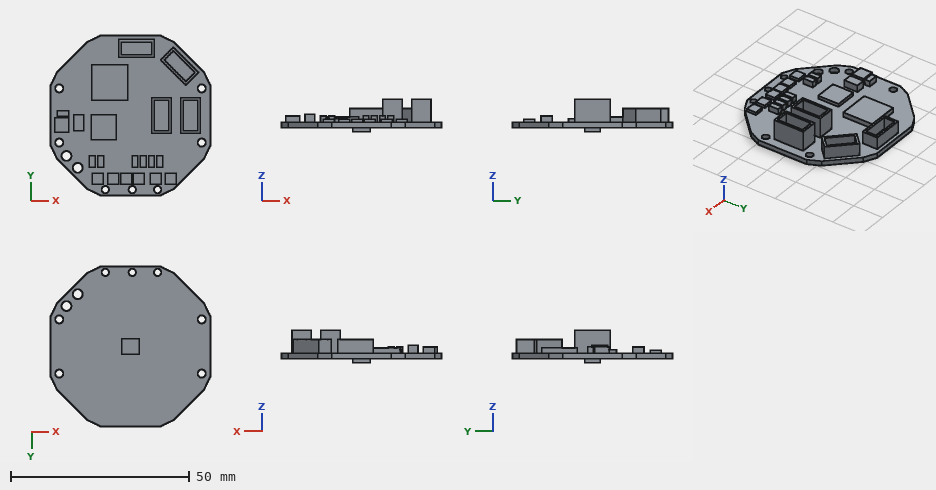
import cadquery as cq

board_size = 45.0
board_thickness = 1.58
straight_half = 8.32
bevel_near = 12.25
bevel_far = 20.55

mount_hole_diameter = 2.2
mount_hole_x = 20.0
mount_hole_y = 7.6
edge_hole_diameter = 2.0
edge_hole_y = -20.8
edge_hole_xs = [-7.05, 0.5, 7.6]
cable_hole_diameter = 2.7
cable_hole_centers = [(-17.95, -11.35), (-14.8, -14.65)]

connector_length = 10.0
connector_wall = 0.7
low_connector_width = 5.05
low_connector_height = 3.9
low_connector_center = (1.65, 18.8)
angled_connector_center = (13.75, 13.8)
angled_connector_turn = -45.0
tall_connector_width = 5.5
tall_connector_height = 6.5
tall_connector_xs = [8.7, 16.8]

large_chip_size = 10.0
large_chip_height = 1.55
large_chip_center = (-5.8, 9.22)
small_chip_size = 7.0
small_chip_height = 1.0
small_chip_center = (-7.5, -3.3)

inductor_size = 4.0
inductor_center = (-19.25, -2.65)
diode_width = 2.85
diode_length = 4.5
diode_height = 2.25
diode_center = (-14.5, -2.02)

capacitor_length = 3.25
capacitor_width = 1.6
capacitor_height = 1.8
inductor_height = capacitor_height
side_capacitor_center = (-18.9, 0.6)
capacitor_row_y = -12.85
capacitor_row_xs = [-10.7, -8.35, 1.25, 3.55, 5.9, 8.2]

pad_size = 3.1
pad_height = 0.85
pad_row_y = -17.75
pad_row_xs = [-9.2, -4.8, -1.15, 2.3, 7.05, 11.3]

sensor_length = 5.0
sensor_width = 4.4
sensor_height = 1.12


def make_board():
    """Board with its lower face on Z = 0."""
    half = board_size / 2
    corner = [
        (half, straight_half),
        (bevel_far, bevel_near),
        (bevel_near, bevel_far),
        (straight_half, half),
    ]
    outline = []
    for _ in range(4):
        outline += corner
        corner = [(-y, x) for x, y in corner]
    return cq.Workplane("XY").polyline(outline).close().extrude(board_thickness)


def drill(board, centers, diameter):
    """Cut round holes right through the board."""
    holes = cq.Workplane("XY").pushPoints(centers).circle(diameter / 2).extrude(board_thickness)
    return board.cut(holes)


def make_blocks(centers, size_x, size_y, height):
    """Plain rectangular blocks standing on the upper face of the board."""
    upper_face = cq.Workplane("XY").workplane(offset=board_thickness)
    return upper_face.pushPoints(centers).rect(size_x, size_y).extrude(height)


def make_connector(center, size_x, size_y, height, turn=0.0):
    """Rectangular wall, open at the top and down to the board."""
    wall = (
        cq.Workplane("XY")
        .rect(size_x, size_y)
        .rect(size_x - 2 * connector_wall, size_y - 2 * connector_wall)
        .extrude(height)
    )
    wall = wall.rotate((0, 0, 0), (0, 0, 1), turn)
    return wall.translate((center[0], center[1], board_thickness))


mount_centers = [(x, y) for x in (-mount_hole_x, mount_hole_x) for y in (-mount_hole_y, mount_hole_y)]
edge_centers = [(x, edge_hole_y) for x in edge_hole_xs]
result = make_board()
result = drill(result, mount_centers, mount_hole_diameter)
result = drill(result, edge_centers, edge_hole_diameter)
result = drill(result, cable_hole_centers, cable_hole_diameter)

connectors = [
    make_connector(low_connector_center, connector_length, low_connector_width, low_connector_height),
    make_connector(
        angled_connector_center,
        connector_length,
        low_connector_width,
        low_connector_height,
        angled_connector_turn,
    ),
]
for x in tall_connector_xs:
    connectors.append(
        make_connector((x, 0), tall_connector_width, connector_length, tall_connector_height)
    )

capacitor_centers = [(x, capacitor_row_y) for x in capacitor_row_xs]
pad_centers = [(x, pad_row_y) for x in pad_row_xs]
components = [
    make_blocks([large_chip_center], large_chip_size, large_chip_size, large_chip_height),
    make_blocks([small_chip_center], small_chip_size, small_chip_size, small_chip_height),
    make_blocks([inductor_center], inductor_size, inductor_size, inductor_height),
    make_blocks([diode_center], diode_width, diode_length, diode_height),
    make_blocks([side_capacitor_center], capacitor_length, capacitor_width, capacitor_height),
    make_blocks(capacitor_centers, capacitor_width, capacitor_length, capacitor_height),
    make_blocks(pad_centers, pad_size, pad_size, pad_height),
]
sensor = cq.Workplane("XY").rect(sensor_length, sensor_width).extrude(-sensor_height)

for part in connectors + components + [sensor]:
    result = result.union(part)